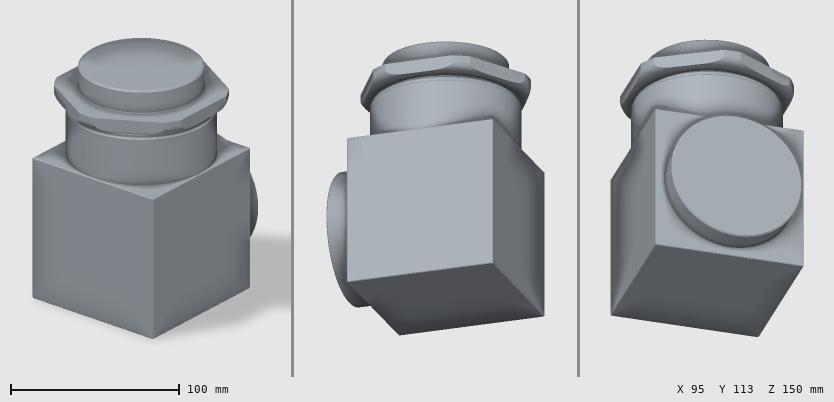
import cadquery as cq
import math

BLOCK_SIDE = 92.0
BLOCK_EDGE_CHAMFER = 0.5
COLLAR_DIAMETER = 90.0
COLLAR_HEIGHT = 30.6
SPIGOT_DIAMETER = 81.0
SPIGOT_LENGTH = 15.0
SPIGOT_CHAMFER = 0.8
COLLAR_CHAMFER = 0.98

SEAL_DIAMETER = COLLAR_DIAMETER - 2 * COLLAR_CHAMFER
SEAL_HEIGHT = 2.1
SEAL_CHAMFER = 0.6

OVERALL_HEIGHT = 150.0
NECK_DIAMETER = 80.0
THREAD_DIAMETER = 76.5
SHANK_DIAMETER = 75.0
SHANK_CHAMFER = 1.0

NUT_BOTTOM = 127.2
NUT_HEIGHT = 8.0
NUT_WIDTH = 95.0
NUT_CORNER_DIAMETER = 104.0
NUT_BOTTOM_ROUND = 4.0

COLLAR_TOP = BLOCK_SIDE + COLLAR_HEIGHT


def cylinder(diameter, bottom, height):
    return cq.Workplane("XY").workplane(offset=bottom).circle(diameter / 2).extrude(height)


def make_housing():
    block = cq.Workplane("XY").box(BLOCK_SIDE, BLOCK_SIDE, BLOCK_SIDE, centered=(True, True, False))
    block = block.edges().chamfer(BLOCK_EDGE_CHAMFER)
    collar = cylinder(COLLAR_DIAMETER, BLOCK_SIDE, COLLAR_HEIGHT).faces(">Z").chamfer(COLLAR_CHAMFER)
    spigot = (
        cq.Workplane("XZ", origin=(0, BLOCK_SIDE / 2, BLOCK_SIDE / 2))
        .circle(SPIGOT_DIAMETER / 2)
        .extrude(-SPIGOT_LENGTH)
        .faces(">Y")
        .chamfer(SPIGOT_CHAMFER)
    )
    return block.union(collar).union(spigot)


def make_seal():
    bore = cylinder(NECK_DIAMETER, COLLAR_TOP, SEAL_HEIGHT)
    disc = cylinder(SEAL_DIAMETER, COLLAR_TOP, SEAL_HEIGHT).faces(">Z").chamfer(SEAL_CHAMFER)
    return disc.cut(bore)


def make_stem():
    neck = cylinder(NECK_DIAMETER, COLLAR_TOP, NUT_BOTTOM - COLLAR_TOP)
    shank = cylinder(SHANK_DIAMETER, NUT_BOTTOM, OVERALL_HEIGHT - NUT_BOTTOM)
    shank = shank.faces(">Z").chamfer(SHANK_CHAMFER)
    thread_runout = (THREAD_DIAMETER - SHANK_DIAMETER) / 2
    thread = cylinder(THREAD_DIAMETER, NUT_BOTTOM, NUT_HEIGHT + thread_runout)
    thread = thread.faces(">Z").chamfer(thread_runout)
    return neck.union(thread).union(shank)


def make_nut():
    across_corners = NUT_WIDTH / math.cos(math.pi / 6)
    hexagon = (
        cq.Workplane("XY")
        .workplane(offset=NUT_BOTTOM)
        .polygon(6, across_corners)
        .extrude(NUT_HEIGHT)
        .rotate((0, 0, 0), (0, 0, 1), 30)
    )
    turned_blank = cylinder(NUT_CORNER_DIAMETER, NUT_BOTTOM, NUT_HEIGHT)
    turned_blank = turned_blank.faces("<Z").edges().fillet(NUT_BOTTOM_ROUND)
    bore = cylinder(THREAD_DIAMETER, NUT_BOTTOM, NUT_HEIGHT)
    return hexagon.intersect(turned_blank).cut(bore)


housing = make_housing()
seal = make_seal()
stem = make_stem()
nut = make_nut()

result = cq.Compound.makeCompound([housing.val(), seal.val(), stem.val(), nut.val()])